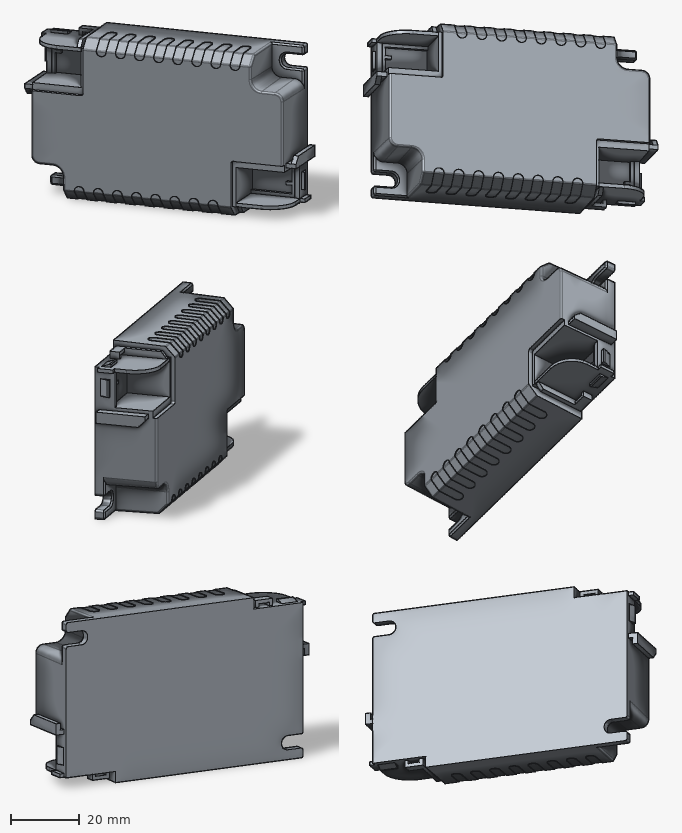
import cadquery as cq
import math

depth = 19.0
length = 79.6
height = 50.0
draft = 1.2
edge_radius = 0.6

slope_start = 16.1
slope_end_z = 21.6

notch_x = 29.8
notch_z = 14.8
notch_radius = 2.9
ear_thickness = 3.1
ear_chamfer = 0.5
ear_overlap = 3.1
slot_z = 19.9
slot_radius = 2.1
slot_centre_x = 34.7
mouth_radius = 0.7

terminal_x = 23.2
terminal_ledge_z = 7.6
terminal_top_z = 21.6
ledge_depth = 17.8
ledge_radius = 0.7

chamber_x = 24.2
chamber_floor_z = 9.7
lid_thickness = 1.1
side_wall_depth = 6.1
side_wall_x = 38.1
frame_depth = 5.8
frame_width = 1.0
chamber_back_depth = 4.6
tab_size_x = 1.8
tab_size_z = 0.9
tab_z = 15.9

lid_radius = 7.8
lid_front = 17.6
lid_ear_x = 41.2
lid_ear_depth = 6.0

rail_back = 1.3
side_rail_x = 42.5
side_rail_top_z = 8.7
side_rail_thickness = 1.4
side_rail_lip = 1.5
side_rail_bottom_z = 5.3
side_rail_front = 16.3
side_rail_chamfer = 2.0
hook_top_z = 23.7
hook_thickness = 1.1
hook_right_x = 24.5
hook_rail_width = 1.3
hook_left_x = 30.2
hook_foot_width = 1.0
hook_arm_front = 4.3
hook_rail_front = 17.3
hook_chamfer = 1.7

latch_length = 5.3
latch_height = 0.85
latch_back = 1.7
latch_peak = 4.1
latch_front = 4.7
side_latch_z = 12.8
top_latch_x = 38.85

groove_count = 8
groove_first_x = -17.5
groove_last_x = 24.4
groove_radius = 1.5
groove_back = 8.8
groove_end_z = 20.0
groove_recess = 0.2

margin = 0.85

half_x = length / 2
half_z = height / 2
shrink = math.tan(math.radians(draft))
groove_pitch = (groove_last_x - groove_first_x) / (groove_count - 1)
slope_start_z = half_z - slope_start * shrink


def box(x0, x1, z0, z1, back, front):
    """Box between two X, two Z and two depth positions."""
    return cq.Workplane("XY").box(x1 - x0, front - back, z1 - z0, centered=False).translate((x0, -front, z0))


def side_prism(points, x0, x1):
    """Prism along X from (depth, z) points."""
    outline = [(-d, z) for d, z in points]
    return cq.Workplane("YZ", origin=(x0, 0, 0)).polyline(outline).close().extrude(x1 - x0)


def opposite(shape):
    """The same shape turned half a turn about the Y axis."""
    return shape.rotate((0, 0, 0), (0, 1, 0), 180)


def is_between_notches(edge):
    """True for an edge within the X span between the two ear notches, their walls included."""
    return abs(edge.Center().x) < notch_x + margin


def body_block():
    """Drafted block with the ear notches, the sloping edges and the rounded front."""
    bow = notch_radius * math.sqrt(0.5)
    inner_x = notch_x + notch_radius
    inner_z = notch_z + notch_radius
    outer_x = half_x - notch_radius
    outer_z = notch_z - notch_radius
    outline = cq.Workplane("XZ").moveTo(-half_x, half_z)
    for side in (1, -1):
        outline = (
            outline.lineTo(side * notch_x, side * half_z)
            .lineTo(side * notch_x, side * inner_z)
            .threePointArc((side * (inner_x - bow), side * (inner_z - bow)), (side * inner_x, side * notch_z))
            .lineTo(side * outer_x, side * notch_z)
            .threePointArc((side * (outer_x + bow), side * (outer_z + bow)), (side * half_x, side * outer_z))
            .lineTo(side * half_x, -side * half_z)
        )
    block = outline.close().extrude(depth, taper=draft)
    slope = side_prism(
        [
            (slope_start, slope_start_z),
            (depth, slope_end_z),
            (depth, half_z + margin),
            (slope_start, half_z + margin),
        ],
        -half_x,
        half_x,
    )
    block = block.cut(slope).cut(opposite(slope))
    front_edges = block.faces("<Y").edges()
    for side in (1, -1):
        slope_region = cq.selectors.BoxSelector(
            (-side * (half_x + margin), -depth - margin, side * slope_end_z),
            (side * (notch_x + margin), -margin, side * (half_z + margin)),
        )
        slope_edges = block.edges(slope_region).filter(is_between_notches)
        front_edges = front_edges.add(slope_edges)
    return front_edges.fillet(edge_radius)


def ear():
    """Slotted mounting ear at the lower left."""
    right = -notch_x + ear_overlap
    top = -notch_z + notch_radius + ear_overlap
    plate = (
        cq.Workplane("XZ")
        .moveTo(-half_x, -half_z)
        .lineTo(right, -half_z)
        .lineTo(right, top)
        .lineTo(-half_x, top)
        .close()
        .extrude(ear_thickness, taper=draft)
    )
    slot = box(-half_x, -slot_centre_x, -slot_z - slot_radius, -slot_z + slot_radius, 0, ear_thickness)
    end = cq.Workplane("XZ").center(-slot_centre_x, -slot_z).circle(slot_radius).extrude(ear_thickness)
    plate = plate.cut(slot.union(end))
    tip = cq.selectors.BoxSelector(
        (-half_x - margin, -depth, -half_z - margin),
        (-half_x + margin, 0, -notch_z),
    )
    plate = plate.edges(tip).edges("not(#Y)").fillet(mouth_radius)
    return plate.faces("<Y").edges().chamfer(ear_chamfer)


def terminal_clearance():
    """Material removed around the upper left terminal corner."""
    above = box(-half_x, -terminal_x, terminal_top_z, half_z, 0, depth)
    front = box(-half_x, -terminal_x, terminal_ledge_z, half_z, ledge_depth, depth)
    inner_corner = cq.selectors.NearestToPointSelector((-terminal_x, -depth, terminal_ledge_z))
    return above.union(front.edges("|Y").edges(inner_corner).fillet(ledge_radius))


def wire_chamber():
    """Hollow of the upper left terminal corner, open to the left and the front."""
    ceiling = terminal_top_z - lid_thickness
    frame_x = side_wall_x - frame_width
    opening = box(-half_x, -chamber_x, chamber_floor_z, terminal_top_z, side_wall_depth, depth)
    frame = box(-side_wall_x, -chamber_x, chamber_floor_z, ceiling, frame_depth, depth)
    back = box(-frame_x, -chamber_x, chamber_floor_z, ceiling - frame_width, chamber_back_depth, depth)
    tab = box(-frame_x, -frame_x + tab_size_x, tab_z, tab_z + tab_size_z, chamber_back_depth, frame_depth)
    return opening.union(frame).union(back).cut(tab)


def lid():
    """Plate over the wire chamber with one large rounded corner."""
    arc_mid = lid_radius * (1 - math.sqrt(0.5))
    return (
        cq.Workplane("XY", origin=(0, 0, terminal_top_z - lid_thickness))
        .moveTo(-terminal_x, -rail_back)
        .lineTo(-lid_ear_x, -rail_back)
        .lineTo(-lid_ear_x, -lid_ear_depth)
        .lineTo(-half_x, -lid_ear_depth)
        .lineTo(-half_x, -lid_front + lid_radius)
        .threePointArc((-half_x + arc_mid, -lid_front + arc_mid), (-half_x + lid_radius, -lid_front))
        .lineTo(-terminal_x, -lid_front)
        .close()
        .extrude(lid_thickness)
    )


def side_rail():
    """L-shaped rail on the left wall, its lip pointing down."""
    wall_x = -half_x + margin
    arm_bottom = side_rail_top_z - side_rail_thickness
    arm = box(-side_rail_x, wall_x, arm_bottom, side_rail_top_z, rail_back, side_rail_front)
    lip = side_prism(
        [
            (rail_back, side_rail_top_z),
            (side_rail_front, side_rail_top_z),
            (side_rail_front, side_rail_bottom_z + side_rail_chamfer),
            (side_rail_front - side_rail_chamfer, side_rail_bottom_z),
            (rail_back, side_rail_bottom_z),
        ],
        -side_rail_x,
        -side_rail_x + side_rail_lip,
    )
    return arm.union(lip)


def top_hook():
    """Rail on top of the terminal corner with a bridge reaching to the left."""
    rail = side_prism(
        [
            (rail_back, terminal_top_z),
            (rail_back, hook_top_z),
            (hook_rail_front - hook_chamfer, hook_top_z),
            (hook_rail_front, terminal_top_z),
        ],
        -hook_right_x - hook_rail_width,
        -hook_right_x,
    )
    bridge_bottom = hook_top_z - hook_thickness
    bridge = box(-hook_left_x, -hook_right_x, bridge_bottom, hook_top_z, rail_back, hook_arm_front)
    foot_right = -hook_left_x + hook_foot_width
    foot = box(-hook_left_x, foot_right, terminal_top_z, hook_top_z, rail_back, hook_arm_front)
    return rail.union(bridge).union(foot)


def latch():
    """Ramped snap latch along X, rising from Z = 0."""
    return side_prism(
        [
            (latch_back, 0),
            (latch_peak, latch_height),
            (latch_front, latch_height),
            (latch_front, -margin),
            (latch_back, -margin),
        ],
        0,
        latch_length,
    )


def top_latch():
    """Latch on top of the terminal corner."""
    return latch().translate((-top_latch_x, 0, terminal_top_z))


def side_latch():
    """Latch on the left end wall."""
    return latch().rotate((0, 0, 0), (0, 1, 0), -90).translate((-half_x, 0, side_latch_z))


def grip_groove():
    """Shallow groove at X = 0 wrapping over the upper sloping edge."""
    top_z = half_z + margin
    front = depth + margin
    plan = (
        cq.Workplane("XY")
        .moveTo(-groove_radius, -front)
        .lineTo(-groove_radius, -groove_back - groove_radius)
        .threePointArc((0, -groove_back), (groove_radius, -groove_back - groove_radius))
        .lineTo(groove_radius, -front)
        .close()
        .extrude(top_z)
    )
    elevation = (
        cq.Workplane("XZ")
        .moveTo(-groove_radius, top_z)
        .lineTo(-groove_radius, groove_end_z + groove_radius)
        .threePointArc((0, groove_end_z), (groove_radius, groove_end_z + groove_radius))
        .lineTo(groove_radius, top_z)
        .close()
        .extrude(front)
    )
    side_recess = groove_recess * math.tan(math.pi / 8)
    upper_bend = (slope_start - side_recess, slope_start_z - groove_recess)
    lower_bend = (depth - groove_recess, slope_end_z - side_recess)
    shell = side_prism(
        [
            (0, half_z - groove_recess),
            upper_bend,
            lower_bend,
            (depth - groove_recess, 0),
            (front, 0),
            (front, top_z),
            (0, top_z),
        ],
        -groove_radius,
        groove_radius,
    )
    for bend_depth, bend_z in (upper_bend, lower_bend):
        bend = cq.selectors.NearestToPointSelector((0, -bend_depth, bend_z))
        shell = shell.edges("|X").edges(bend).fillet(edge_radius)
    return plan.intersect(elevation).intersect(shell)


result = body_block()

for corner_cut in (terminal_clearance(), wire_chamber()):
    result = result.cut(corner_cut).cut(opposite(corner_cut))

for addition in (ear(), lid(), side_rail(), top_hook(), top_latch(), side_latch()):
    result = result.union(addition).union(opposite(addition))

for index in range(groove_count):
    groove = grip_groove().translate((groove_first_x + index * groove_pitch, 0, 0))
    result = result.cut(groove).cut(opposite(groove))